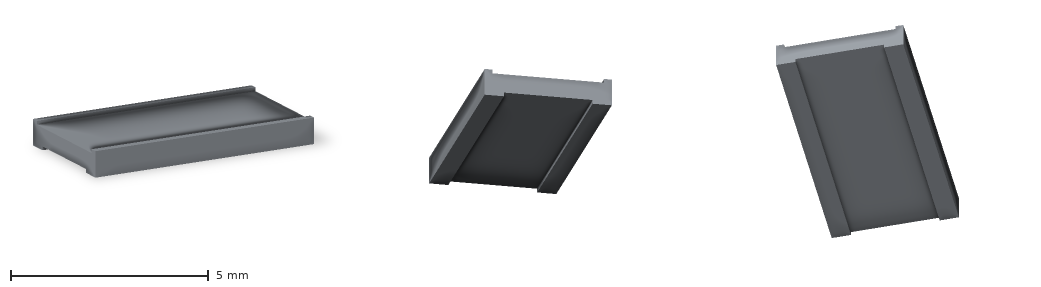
import cadquery as cq

width = 3.3
length = 6.3
height = 0.7

plating = 0.1
top_lip = 0.2
bottom_lip = 0.5

body_width = width - 2 * plating
body_height = height - 2 * plating


def make_body():
    """Flat rectangular body, centred in the plating."""
    return cq.Workplane("XY").box(body_width, length, body_height)


def make_terminal():
    """C-shaped terminal on the -X side, running the full length."""
    outer_x = -width / 2
    inner_x = outer_x + plating
    profile = [
        (outer_x, -height / 2),
        (outer_x + bottom_lip, -height / 2),
        (outer_x + bottom_lip, -body_height / 2),
        (inner_x, -body_height / 2),
        (inner_x, body_height / 2),
        (outer_x + top_lip, body_height / 2),
        (outer_x + top_lip, height / 2),
        (outer_x, height / 2),
    ]
    return cq.Workplane("XZ").polyline(profile).close().extrude(length / 2, both=True)


left_terminal = make_terminal()
right_terminal = left_terminal.mirror("YZ")

result = make_body().union(left_terminal, clean=False).union(right_terminal, clean=False)